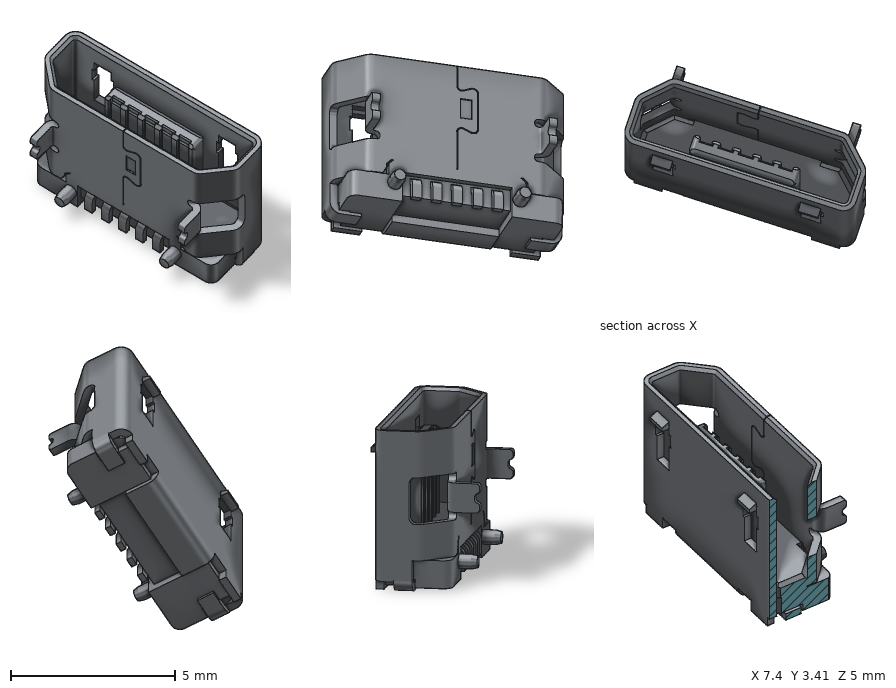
import cadquery as cq
import math


SHELL_WIDTH = 7.4
SHELL_DEPTH = 2.35
SHELL_TOP = 5.0
SHEET = 0.25
CORNER_CUT = 0.9
CORNER_RADIUS = 0.4
INNER_RADIUS = CORNER_RADIUS - SHEET
MOUTH_CHAMFER = 0.1
HALF_WIDTH = SHELL_WIDTH / 2
BACK_INNER = SHELL_DEPTH - SHEET
OVERSHOOT = 1.0

FRONT_BOTTOM = 0.99
SIDE_BOTTOM = 0.31
SIDE_FRONT = 1.16
BACK_LEG_INNER_X = 2.4
BACK_LEG_OUTER_X = HALF_WIDTH - CORNER_RADIUS

SIDE_FLAP_REAR = 1.73
SIDE_FLAP_END_X = 2.7
SIDE_FLAP_RADIUS = 0.355
BACK_FLAP_HALF = 1.707
BACK_FLAP_END_Y = 1.2
BACK_FLAP_RADIUS = 0.395

WINDOW_BOTTOM = 2.12
WINDOW_TOP = 3.57
WINDOW_REAR = 1.25
WINDOW_RADIUS = 0.2
WINDOW_INNER_X = 2.6
LEG_WIDTH = 0.91
LEG_TIP_Y = -0.8
LEG_BEND_RADIUS = 0.1
LEG_NOTCH_DEPTH = 0.155
LEG_NOTCH_FLAT = 0.07
LEG_EDGE_RADIUS = 0.11
LEG_CENTRE_Z = (WINDOW_BOTTOM + WINDOW_TOP) / 2

LATCH_X = 2.375
LATCH_WIDTH = 0.65
LATCH_REACH = 0.26
LATCH_BOTTOM = 4.135
LATCH_TIP_TOP = 4.27
LATCH_ROOT_TOP = 4.41
LATCH_SLOT_BOTTOM = 2.5
LATCH_WIDE_WIDTH = 0.81
LATCH_WIDE_BOTTOM = 3.43
LATCH_WIDE_TOP = 3.9

SEAM_GAP = 0.03
DOVETAIL_Z = 3.54
DOVETAIL_LENGTH = 0.65
DOVETAIL_ROOT_HALF = 0.55
DOVETAIL_TIP_HALF = 0.82
DOVETAIL_RADIUS = 0.155
MARK_X = (0.104, 0.46)
MARK_Z = (3.247, 3.905)
MARK_DEPTH = 0.05

FLOOR_Z = 1.48
HOUSING_BOTTOM = 0.1
LEDGE_Z = 0.97
BASE_HALF = 3.43
BASE_RADIUS = 0.3
HOUSING_BACK_RADIUS = 0.35
FLOOR_CHAMFER = 0.17
FLAP_RELIEF_HALF = 3.08
FLAP_RELIEF_FRONT = 1.11
FRONT_PAD_HALF = 2.185
FRONT_PAD_BEVEL = 0.145
PAD_SLIT = 0.062
SLIT_FLARE_X = 2.38
SLIT_FLARE_Z = 1.207

TAIL_BAY_HALF = 1.75
TAIL_BAY_TOP = 1.1
TAIL_BAY_DEPTH = 0.19
GROOVE_TOP = BACK_FLAP_RADIUS

PEG_X = 2.0
PEG_Z = 0.7
PEG_RADIUS = 0.225
PEG_TIP_RADIUS = 0.18
PEG_SHOULDER_Y = -0.4
PEG_TIP_Y = -0.58

CONTACT_COUNT = 5
PITCH = 0.65
TAIL_WIDTH = 0.3
TAIL_FACE_Y = -0.05
TAIL_BOTTOM = 0.28
TAIL_TOP = 1.01
TAIL_RADIUS = 0.29
TAIL_THICKNESS = 0.18

TONGUE_HALF = 1.71
TONGUE_TOP = 4.2
TONGUE_BACK = 1.89
TONGUE_FRONT = 1.435
TONGUE_FRONT_BEVEL = 0.045
TONGUE_ROUND = 0.165
TONGUE_BACK_DROP = 0.11
TONGUE_EDGE_RADIUS = 0.1
CONTACT_FACE_Y = 1.385
CONTACT_DROP = 0.21
RIB_FACE_Y = 1.28
RIB_SHOULDER_Y = 1.33
RIB_NECK_WIDTH = 0.166
RIB_BASE_WIDTH = 0.27
RIB_FACE_WIDTH = 0.18
END_RIB_INNER_X = 1.49
END_RIB_BEVEL = 0.06


def box(x, y, z):
    """Box spanning the (low, high) range given along each axis."""
    size = (x[1] - x[0], y[1] - y[0], z[1] - z[0])
    return cq.Workplane("XY").box(*size, centered=False).translate((x[0], y[0], z[0]))


def both_sides(body):
    return body.union(body.mirror("YZ"))


def prism_x(points, x):
    """Extrude a (Y, Z) polygon between two X positions."""
    return cq.Workplane("YZ").workplane(offset=x[0]).polyline(points).close().extrude(x[1] - x[0])


def prism_y(points, y):
    """Extrude an (X, Z) polygon between two Y positions."""
    flat = cq.Workplane("XZ").workplane(offset=-y[1]).polyline(points)
    return flat.close().extrude(y[1] - y[0])


def sharp_plan(inset, z):
    """Shell outline without its bends, moved inwards by inset and extruded over a Z range."""
    half = HALF_WIDTH - inset
    back = SHELL_DEPTH - inset
    cut = CORNER_CUT - inset * (2 - math.sqrt(2))
    points = [
        (half - cut, inset),
        (half, inset + cut),
        (half, back),
        (-half, back),
        (-half, inset + cut),
        (cut - half, inset),
    ]
    return cq.Workplane("XY").workplane(offset=z[0]).polyline(points).close().extrude(z[1] - z[0])


def shell_plan(inset, z, back_radius):
    """Shell outline with rounded bends, moved inwards by inset and extruded over a Z range."""
    plan = sharp_plan(inset, z)
    plan = plan.edges("|Z").edges("not >Y").fillet(CORNER_RADIUS - inset)
    return plan.edges("|Z").edges(">Y").fillet(back_radius)


def shell_tube():
    height = (0, SHELL_TOP)
    bore = shell_plan(SHEET, height, INNER_RADIUS)
    tube = shell_plan(0, height, CORNER_RADIUS).cut(bore)
    return tube.faces(">Z").wires(cq.selectors.LengthNthSelector(0)).chamfer(MOUTH_CHAMFER)


def lower_edge_cuts():
    reach = HALF_WIDTH + OVERSHOOT
    front = box((-reach, reach), (-OVERSHOOT, SIDE_FRONT), (-OVERSHOOT, FRONT_BOTTOM))
    side = box((BACK_LEG_OUTER_X, reach), (SIDE_FRONT, SHELL_DEPTH), (-OVERSHOOT, SIDE_BOTTOM))
    flap_seat = box((BACK_LEG_OUTER_X, reach), (SIDE_FRONT, SIDE_FLAP_REAR), (-OVERSHOOT, SIDE_FLAP_RADIUS))
    centre = box((-BACK_LEG_INNER_X, BACK_LEG_INNER_X), (BACK_INNER, SHELL_DEPTH), (-OVERSHOOT, GROOVE_TOP))
    return front.union(both_sides(side.union(flap_seat))).union(centre)


def pad_outline(half, top):
    return [
        (half, 0),
        (half, FLOOR_Z - FRONT_PAD_BEVEL),
        (half - FRONT_PAD_BEVEL, top),
        (FRONT_PAD_BEVEL - half, top),
        (-half, FLOOR_Z - FRONT_PAD_BEVEL),
        (-half, 0),
    ]


def pad_opening():
    half = FRONT_PAD_HALF + PAD_SLIT
    opening = prism_y(pad_outline(half, FLOOR_Z), (-OVERSHOOT, SHEET))
    flare_points = [
        (0, 0),
        (SLIT_FLARE_X, 0),
        (SLIT_FLARE_X, FRONT_BOTTOM),
        (half, SLIT_FLARE_Z),
        (0, SLIT_FLARE_Z),
    ]
    flare = prism_y(flare_points, (-OVERSHOOT, SHEET))
    return opening.union(both_sides(flare))


def corner_window():
    """Opening through the right front corner, ending in round slots beside the leg root."""
    height = (WINDOW_BOTTOM, WINDOW_TOP)
    opening = box((WINDOW_INNER_X, HALF_WIDTH + OVERSHOOT), (-OVERSHOOT, WINDOW_REAR), height)
    opening = opening.edges("|X and >Y").fillet(WINDOW_RADIUS)
    slot_height = (WINDOW_TOP - WINDOW_BOTTOM - LEG_WIDTH) / 2
    for z in (WINDOW_BOTTOM + slot_height / 2, WINDOW_TOP - slot_height / 2):
        slot = cq.Workplane("XZ").center(WINDOW_INNER_X, z).circle(slot_height / 2).extrude(-SHEET)
        opening = opening.union(slot)
    return opening


def leg_blank():
    """Leg bent outwards from the front wall, with a plain end."""
    outer_radius = LEG_BEND_RADIUS + SHEET
    inner_x = WINDOW_INNER_X + LEG_BEND_RADIUS
    outer_x = WINDOW_INNER_X + outer_radius
    diagonal = math.sqrt(0.5)
    outer_mid = (WINDOW_INNER_X + outer_radius * diagonal, outer_radius * diagonal - LEG_BEND_RADIUS)
    inner_mid = (WINDOW_INNER_X + LEG_BEND_RADIUS * diagonal, LEG_BEND_RADIUS * (diagonal - 1))
    return (
        cq.Workplane("XY").workplane(offset=LEG_CENTRE_Z - LEG_WIDTH / 2)
        .moveTo(WINDOW_INNER_X, SHEET)
        .threePointArc(outer_mid, (outer_x, -LEG_BEND_RADIUS))
        .lineTo(outer_x, LEG_TIP_Y)
        .lineTo(inner_x, LEG_TIP_Y)
        .lineTo(inner_x, -LEG_BEND_RADIUS)
        .threePointArc(inner_mid, (WINDOW_INNER_X, 0))
        .close()
        .extrude(LEG_WIDTH)
    )


def leg_notch():
    """Smooth notch in the leg tip: each flank is two equal arcs, convex then concave."""
    radius = LEG_EDGE_RADIUS
    angle = math.acos(1 - LEG_NOTCH_DEPTH / (2 * radius))
    flank_half = radius * math.sin(angle)
    bend_out = radius * (1 - math.cos(angle / 2))
    bend_along = radius * math.sin(angle / 2)
    bottom_y = LEG_TIP_Y + LEG_NOTCH_DEPTH
    middle_y = LEG_TIP_Y + LEG_NOTCH_DEPTH / 2
    floor_half = LEG_NOTCH_FLAT / 2
    middle_half = floor_half + flank_half
    mouth_half = middle_half + flank_half
    return (
        cq.Workplane("YZ").workplane(offset=WINDOW_INNER_X).center(0, LEG_CENTRE_Z)
        .moveTo(LEG_TIP_Y, -mouth_half)
        .threePointArc((LEG_TIP_Y + bend_out, bend_along - mouth_half), (middle_y, -middle_half))
        .threePointArc((bottom_y - bend_out, -floor_half - bend_along), (bottom_y, -floor_half))
        .lineTo(bottom_y, floor_half)
        .threePointArc((bottom_y - bend_out, floor_half + bend_along), (middle_y, middle_half))
        .threePointArc((LEG_TIP_Y + bend_out, mouth_half - bend_along), (LEG_TIP_Y, mouth_half))
        .close()
        .extrude(LEG_BEND_RADIUS + SHEET)
    )


def solder_leg():
    rounded = leg_blank().edges("|X and <Y").fillet(LEG_EDGE_RADIUS)
    return rounded.cut(leg_notch())


def latch():
    points = [
        (SHELL_DEPTH, LATCH_BOTTOM),
        (SHELL_DEPTH + LATCH_REACH, LATCH_BOTTOM),
        (SHELL_DEPTH + LATCH_REACH, LATCH_TIP_TOP),
        (SHELL_DEPTH, LATCH_ROOT_TOP),
    ]
    return prism_x(points, (LATCH_X - LATCH_WIDTH / 2, LATCH_X + LATCH_WIDTH / 2))


def latch_slot():
    def opening(width, height):
        return box((LATCH_X - width / 2, LATCH_X + width / 2), (BACK_INNER, SHELL_DEPTH), height)

    narrow = opening(LATCH_WIDTH, (LATCH_SLOT_BOTTOM, LATCH_TIP_TOP))
    return narrow.union(opening(LATCH_WIDE_WIDTH, (LATCH_WIDE_BOTTOM, LATCH_WIDE_TOP)))


def front_seam():
    """Thin gap along the edge of the left panel and its dovetail."""
    edge_x = -SEAM_GAP / 2
    points = [
        (-OVERSHOOT, FLOOR_Z - OVERSHOOT),
        (edge_x, FLOOR_Z - OVERSHOOT),
        (edge_x, DOVETAIL_Z - DOVETAIL_ROOT_HALF),
        (DOVETAIL_LENGTH, DOVETAIL_Z - DOVETAIL_TIP_HALF),
        (DOVETAIL_LENGTH, DOVETAIL_Z + DOVETAIL_TIP_HALF),
        (edge_x, DOVETAIL_Z + DOVETAIL_ROOT_HALF),
        (edge_x, SHELL_TOP + OVERSHOOT),
        (-OVERSHOOT, SHELL_TOP + OVERSHOOT),
    ]
    panel = prism_y(points, (0, SHEET))
    tips = panel.edges("|Y and >X")
    root_zone = cq.selectors.BoxSelector((-SHEET, -SHEET, FLOOR_Z), (SHEET, 2 * SHEET, SHELL_TOP))
    roots = panel.edges(root_zone).edges("|Y")
    panel = panel.newObject(tips.vals() + roots.vals()).fillet(DOVETAIL_RADIUS)
    outline = panel.faces("<Y").wires().val()
    grown_outline = outline.offset2D(SEAM_GAP)[0]
    grown = cq.Workplane(cq.Solid.extrudeLinear(grown_outline, [], cq.Vector(0, SHEET, 0)))
    limits = box((-SEAM_GAP, DOVETAIL_LENGTH + SEAM_GAP), (0, SHEET), (FLOOR_Z, SHELL_TOP))
    return grown.cut(panel).intersect(limits)


def side_flap():
    """Side wall bent under the housing at the right."""
    inner_radius = SIDE_FLAP_RADIUS - SHEET
    bend_x = HALF_WIDTH - SIDE_FLAP_RADIUS
    length = SIDE_FLAP_REAR - SIDE_FRONT
    bend = cq.Workplane("XZ").workplane(offset=-SIDE_FLAP_REAR).center(bend_x, SIDE_FLAP_RADIUS)
    bend = bend.circle(SIDE_FLAP_RADIUS).circle(inner_radius).extrude(length)
    corner = box((bend_x, HALF_WIDTH), (SIDE_FRONT, SIDE_FLAP_REAR), (0, SIDE_FLAP_RADIUS))
    sheet = box((SIDE_FLAP_END_X, bend_x), (SIDE_FRONT, SIDE_FLAP_REAR), (0, SHEET))
    return bend.intersect(corner).union(sheet)


def back_flap():
    """Centre of the back wall bent under the housing."""
    inner_radius = BACK_FLAP_RADIUS - SHEET
    bend_y = SHELL_DEPTH - BACK_FLAP_RADIUS
    width = (-BACK_FLAP_HALF, BACK_FLAP_HALF)
    bend = cq.Workplane("YZ").workplane(offset=-BACK_FLAP_HALF).center(bend_y, BACK_FLAP_RADIUS)
    bend = bend.circle(BACK_FLAP_RADIUS).circle(inner_radius).extrude(2 * BACK_FLAP_HALF)
    corner = box(width, (bend_y, SHELL_DEPTH), (0, BACK_FLAP_RADIUS))
    sheet = box(width, (BACK_FLAP_END_Y, bend_y), (0, SHEET))
    return bend.intersect(corner).union(sheet)


def make_shell():
    shell = shell_tube()
    shell = shell.cut(lower_edge_cuts()).cut(pad_opening())
    shell = shell.cut(both_sides(corner_window())).cut(both_sides(latch_slot()))
    shell = shell.cut(front_seam()).cut(box(MARK_X, (0, MARK_DEPTH), MARK_Z))
    for part in (solder_leg(), latch(), side_flap()):
        shell = shell.union(both_sides(part))
    return shell.union(back_flap())


def housing_body():
    upper_z = (LEDGE_Z, FLOOR_Z)
    bevelled = sharp_plan(SHEET, upper_z).faces(">Z").edges().chamfer(FLOOR_CHAMFER)
    upper = shell_plan(SHEET, upper_z, HOUSING_BACK_RADIUS).intersect(bevelled)
    front_fill_half = FRONT_PAD_HALF - FRONT_PAD_BEVEL
    front_fill = box((-front_fill_half, front_fill_half), (SHEET, SHELL_DEPTH / 2), upper_z)
    base = box((-BASE_HALF, BASE_HALF), (0, BACK_INNER), (HOUSING_BOTTOM, LEDGE_Z))
    base = base.edges("|Z and <Y").fillet(BASE_RADIUS)
    base = base.edges("|Z and >Y").fillet(HOUSING_BACK_RADIUS)
    pad = prism_y(pad_outline(FRONT_PAD_HALF, FLOOR_Z), (0, SHEET))
    pad = pad.intersect(box((-FRONT_PAD_HALF, FRONT_PAD_HALF), (0, SHEET), upper_z))
    body = upper.union(front_fill).union(base).union(pad)
    bay = box((-TAIL_BAY_HALF, TAIL_BAY_HALF), (0, TAIL_BAY_DEPTH), (HOUSING_BOTTOM, TAIL_BAY_TOP))
    groove = box((-TAIL_BAY_HALF, TAIL_BAY_HALF), (0, BACK_INNER), (HOUSING_BOTTOM, GROOVE_TOP))
    relief_z = (HOUSING_BOTTOM, SIDE_FLAP_RADIUS)
    relief = box((FLAP_RELIEF_HALF, BASE_HALF), (FLAP_RELIEF_FRONT, BACK_INNER), relief_z)
    return body.cut(bay).cut(groove).cut(both_sides(relief))


def peg():
    profile = [
        (0, 0),
        (PEG_RADIUS, 0),
        (PEG_RADIUS, PEG_SHOULDER_Y),
        (PEG_TIP_RADIUS, PEG_TIP_Y),
        (0, PEG_TIP_Y),
    ]
    body = cq.Workplane("XY").polyline(profile).close().revolve(360, (0, 0, 0), (0, 1, 0))
    return body.translate((PEG_X, 0, PEG_Z))


def contact_tail(x):
    inner_radius = TAIL_RADIUS - TAIL_THICKNESS
    bend_y = TAIL_FACE_Y + TAIL_RADIUS
    bend_z = TAIL_TOP - TAIL_RADIUS
    diagonal = math.sqrt(0.5)
    outer_mid = (bend_y - TAIL_RADIUS * diagonal, bend_z + TAIL_RADIUS * diagonal)
    inner_mid = (bend_y - inner_radius * diagonal, bend_z + inner_radius * diagonal)
    return (
        cq.Workplane("YZ").workplane(offset=x - TAIL_WIDTH / 2)
        .moveTo(TAIL_FACE_Y, TAIL_BOTTOM)
        .lineTo(TAIL_FACE_Y, bend_z)
        .threePointArc(outer_mid, (bend_y, TAIL_TOP))
        .lineTo(bend_y + TAIL_THICKNESS, TAIL_TOP)
        .lineTo(bend_y + TAIL_THICKNESS, bend_z + inner_radius)
        .lineTo(bend_y, bend_z + inner_radius)
        .threePointArc(inner_mid, (bend_y - inner_radius, bend_z))
        .lineTo(bend_y - inner_radius, TAIL_BOTTOM)
        .close()
        .extrude(TAIL_WIDTH)
    )


def tongue_core():
    core = box((-TONGUE_HALF, TONGUE_HALF), (RIB_FACE_Y, TONGUE_BACK), (FLOOR_Z, TONGUE_TOP))
    core = core.edges("|Z and <Y").fillet(TONGUE_EDGE_RADIUS)
    core = core.edges("|Z and >Y").fillet(TONGUE_ROUND)
    round_x = TONGUE_HALF - TONGUE_ROUND
    round_z = TONGUE_TOP - TONGUE_ROUND
    end_cut = box((round_x, TONGUE_HALF), (0, SHELL_DEPTH), (round_z, TONGUE_TOP))
    rod = cq.Workplane("XZ").center(round_x, round_z)
    rod = rod.circle(TONGUE_ROUND).extrude(-SHELL_DEPTH)
    core = core.cut(both_sides(end_cut.cut(rod)))
    back_bevel = prism_x(
        [
            (TONGUE_BACK - TONGUE_ROUND, TONGUE_TOP),
            (TONGUE_BACK, TONGUE_TOP),
            (TONGUE_BACK, TONGUE_TOP - TONGUE_BACK_DROP),
        ],
        (-TONGUE_HALF, TONGUE_HALF),
    )
    return core.cut(back_bevel)


def rib_plan(x):
    """Dovetailed rib between two contacts."""
    points = [
        (x - RIB_NECK_WIDTH / 2, TONGUE_FRONT + TONGUE_FRONT_BEVEL),
        (x - RIB_NECK_WIDTH / 2, CONTACT_FACE_Y),
        (x - RIB_BASE_WIDTH / 2, CONTACT_FACE_Y),
        (x - RIB_BASE_WIDTH / 2, RIB_SHOULDER_Y),
        (x - RIB_FACE_WIDTH / 2, RIB_FACE_Y),
        (x + RIB_FACE_WIDTH / 2, RIB_FACE_Y),
        (x + RIB_BASE_WIDTH / 2, RIB_SHOULDER_Y),
        (x + RIB_BASE_WIDTH / 2, CONTACT_FACE_Y),
        (x + RIB_NECK_WIDTH / 2, CONTACT_FACE_Y),
        (x + RIB_NECK_WIDTH / 2, TONGUE_FRONT + TONGUE_FRONT_BEVEL),
    ]
    return cq.Workplane("XY").workplane(offset=FLOOR_Z).polyline(points).close().extrude(TONGUE_TOP - FLOOR_Z)


def rib_tip_bevel():
    drop = CONTACT_FACE_Y - RIB_FACE_Y
    points = [
        (CONTACT_FACE_Y, TONGUE_TOP),
        (RIB_FACE_Y, TONGUE_TOP),
        (RIB_FACE_Y, TONGUE_TOP - drop),
    ]
    return prism_x(points, (-TONGUE_HALF, TONGUE_HALF))


def contact_fill():
    """Contact fronts seen between the ribs, with a sloped lead-in at their tops."""
    slope = TONGUE_FRONT - CONTACT_FACE_Y
    top = TONGUE_TOP - CONTACT_DROP
    points = [
        (CONTACT_FACE_Y, FLOOR_Z),
        (TONGUE_FRONT, FLOOR_Z),
        (TONGUE_FRONT, top),
        (CONTACT_FACE_Y, top - slope),
    ]
    return prism_x(points, (-END_RIB_INNER_X, END_RIB_INNER_X))


def contact_bay():
    """Space between the two end ribs, flared at its face and bevelled along its top rear edge."""
    plan = [
        (END_RIB_INNER_X, TONGUE_FRONT),
        (END_RIB_INNER_X, RIB_SHOULDER_Y),
        (END_RIB_INNER_X + END_RIB_BEVEL, RIB_FACE_Y),
        (-END_RIB_INNER_X - END_RIB_BEVEL, RIB_FACE_Y),
        (-END_RIB_INNER_X, RIB_SHOULDER_Y),
        (-END_RIB_INNER_X, TONGUE_FRONT),
    ]
    bay = cq.Workplane("XY").workplane(offset=FLOOR_Z).polyline(plan).close().extrude(TONGUE_TOP - FLOOR_Z)
    bevel = [
        (TONGUE_FRONT, TONGUE_TOP),
        (TONGUE_FRONT + TONGUE_FRONT_BEVEL, TONGUE_TOP),
        (TONGUE_FRONT, TONGUE_TOP - TONGUE_FRONT_BEVEL),
    ]
    return bay.union(prism_x(bevel, (-END_RIB_INNER_X, END_RIB_INNER_X)))


def make_tongue():
    tongue = tongue_core().cut(contact_bay()).union(contact_fill())
    for index in range(CONTACT_COUNT - 1):
        tongue = tongue.union(rib_plan((index - (CONTACT_COUNT - 2) / 2) * PITCH))
    return tongue.cut(rib_tip_bevel())


def make_part():
    part = make_shell().union(housing_body()).union(make_tongue()).union(both_sides(peg()))
    for index in range(CONTACT_COUNT):
        part = part.union(contact_tail((index - (CONTACT_COUNT - 1) / 2) * PITCH))
    return part.clean()


result = make_part()